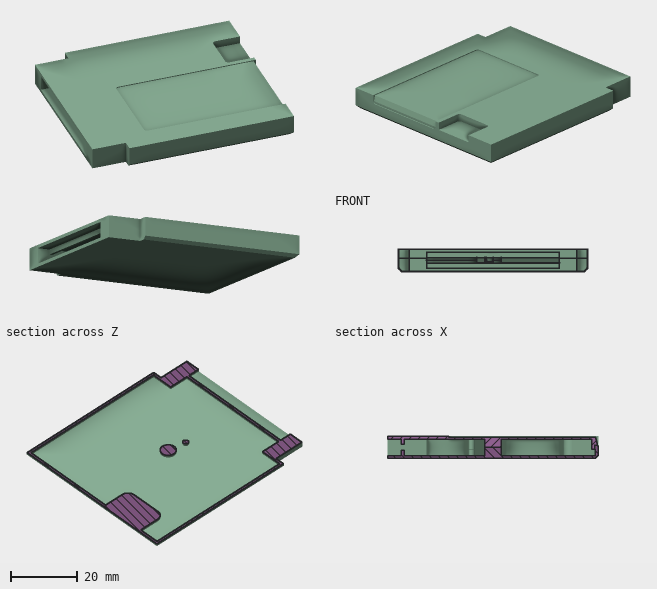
import cadquery as cq


width = 57.0
length = 63.5
height = 6.8
wall = 1.0
parting_z = 4.0
middle_z = height / 2
ceiling_z = height - wall
rear_y = length / 2
front_y = -rear_y
edge_chamfer = wall

neck_inset = 3.25
neck_length = 10.7
shoulder_y = front_y + neck_length

mouth_width = 40.1
mouth_depth = 4.0
slot_height = 1.7
slot_bottom_z = middle_z - slot_height / 2
slot_top_z = middle_z + slot_height / 2

cavity_rear_y = rear_y - wall
cavity_half_width = width / 2 - wall

label_left_x = -5.1
label_width = 26.15
label_length = 45.1
label_depth = 0.3
label_bevel_run = 0.45
label_bevel_drop = 1.8
label_bottom_z = parting_z
label_right_x = label_left_x + label_width

corner_radius = wall
grip_left_x = -19.05
grip_width = 12.6
grip_length = 8.95
grip_floor_z = middle_z + wall
housing_radius = 5.0 / 2
housing_wall = housing_radius - corner_radius
housing_left_x = grip_left_x - housing_wall
housing_width = grip_width + 2 * housing_wall
housing_length = grip_length + housing_wall
housing_right_x = housing_left_x + housing_width

post_diameter = 5.0
pin_diameter = 2.0
pin_x = -pin_diameter / 2
pin_y = -6.35
pin_bottom_z = 3.0
rest_top_z = 2.7
tongue_bottom_z = rest_top_z


def box(x0, x1, y0, y1, z0, z1):
    """Box between two opposite corners."""
    return cq.Workplane("XY").box(x1 - x0, y1 - y0, z1 - z0, centered=False).translate((x0, y0, z0))


def rear_pad(left_x, pad_width, front_length, radius, z0, z1, end_y=rear_y):
    """Block running forward from the rear, with its two front corners rounded."""
    pad = box(left_x, left_x + pad_width, rear_y - front_length, end_y, z0, z1)
    return pad.edges("|Z and <Y").fillet(radius)


def post(diameter, x, y, z0, z1):
    """Upright round post."""
    return cq.Workplane("XY", origin=(x, y, z0)).circle(diameter / 2).extrude(z1 - z0)


def shell_blank(z0, z1):
    """Solid slab with the cartridge outline: a wide body and a narrow neck."""
    body = box(-width / 2, width / 2, shoulder_y, rear_y, z0, z1)
    if z0 == 0:
        body = body.faces("<Z").edges("<X or >X or >Y").chamfer(edge_chamfer)
    neck_half_width = width / 2 - neck_inset
    return body.union(box(-neck_half_width, neck_half_width, front_y, shoulder_y, z0, z1))


def cavity():
    """Empty space inside both halves: connector mouth, board slot and main chamber."""
    half_mouth = mouth_width / 2
    rib_front_y = front_y + mouth_depth
    rib_rear_y = rib_front_y + wall
    chamber_front_y = shoulder_y + wall
    mouth = box(-half_mouth, half_mouth, front_y, rib_front_y, wall, ceiling_z)
    slot = box(-half_mouth, half_mouth, rib_front_y, rib_rear_y, slot_bottom_z, slot_top_z)
    throat = box(-half_mouth, half_mouth, rib_rear_y, chamber_front_y, wall, ceiling_z)
    chamber = box(
        -cavity_half_width, cavity_half_width, chamber_front_y, cavity_rear_y, wall, ceiling_z
    )
    return mouth.union(slot).union(throat).union(chamber)


def grip_housing(z0, z1):
    """Rounded block around the thumb grip, joined to the rear wall."""
    return rear_pad(
        housing_left_x, housing_width, housing_length, housing_radius, z0, z1, cavity_rear_y
    )


def label_recess():
    """Shallow recess in the top and rear faces, with the edge between them bevelled."""
    floor_z = height - label_depth
    back_y = rear_y - label_depth
    top = rear_pad(label_left_x, label_width, label_length, corner_radius, floor_z, height)
    rear = box(label_left_x, label_right_x, back_y, rear_y, label_bottom_z, height)
    rear = rear.edges("|Y and <Z").fillet(corner_radius)
    bevel = (
        cq.Workplane("YZ", origin=(label_left_x, 0, 0))
        .moveTo(back_y - label_bevel_run, floor_z)
        .lineTo(back_y, floor_z)
        .lineTo(back_y, floor_z - label_bevel_drop)
        .close()
        .extrude(label_width)
    )
    return top.union(rear).union(bevel)


def make_top_shell():
    shell = shell_blank(parting_z, height).cut(cavity())
    shell = shell.union(grip_housing(middle_z, ceiling_z))
    shell = shell.union(post(post_diameter, 0, 0, middle_z, ceiling_z))
    shell = shell.union(post(pin_diameter, pin_x, pin_y, pin_bottom_z, ceiling_z))

    tongue = box(
        housing_right_x, cavity_half_width, cavity_rear_y - wall, cavity_rear_y, tongue_bottom_z, ceiling_z
    )
    shell = shell.union(tongue)

    grip = rear_pad(grip_left_x, grip_width, grip_length, corner_radius, grip_floor_z, height)
    return shell.cut(grip).cut(label_recess())


def make_bottom_shell():
    shell = shell_blank(0, parting_z).cut(cavity())
    shell = shell.union(grip_housing(wall, middle_z))
    shell = shell.union(post(post_diameter, 0, 0, wall, middle_z))
    return shell.union(post(pin_diameter, pin_x, pin_y, wall, rest_top_z))


top_shell = make_top_shell()
bottom_shell = make_bottom_shell()
result = cq.Compound.makeCompound([top_shell.val(), bottom_shell.val()])